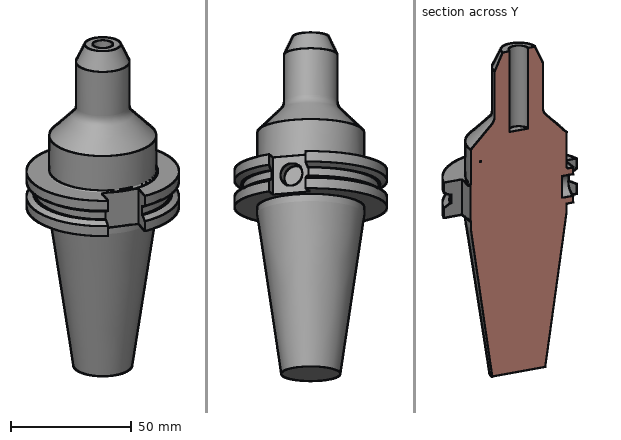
import cadquery as cq
import math


total_length = 144.5
taper_length = 68.2
nose_top_z = total_length - taper_length

gauge_radius = 44.5 / 2
taper_ratio = 7 / 24
taper_end_radius = gauge_radius - taper_length * taper_ratio / 2

flange_radius = 63.4 / 2
flange_bottom_z = 3.2
flange_width = 15.9
flange_top_z = flange_bottom_z + flange_width
flange_mid_z = flange_bottom_z + flange_width / 2
groove_mid_z = flange_mid_z
groove_mouth_width = 7.0
groove_seat_radius = 28.9
groove_flank_angle = math.radians(30)
groove_floor_radius = 28.2
groove_flank_height = (flange_radius - groove_seat_radius) * math.tan(groove_flank_angle)
groove_floor_width = groove_mouth_width - 2 * groove_flank_height

slot_width = 16.0
slot_face_minus_x = 25.1
slot_face_plus_x = 22.4

side_hole_diameter = 9.5
side_hole_depth = 5.0

body_radius = gauge_radius
body_root_fillet = 0.7
shoulder_z = 35.2
shoulder_angle = math.radians(45)
nose_radius = 22.4 / 2
nose_root_fillet = 5.0
nose_tip_radius = 15.0 / 2
nose_tip_height = 7.8

bore_diameter = 8.4
bore_depth = 36.1


def arc_point(center_r, center_z, radius, angle):
    """Point on a profile arc; the angle is measured from the +R direction."""
    return center_r + radius * math.cos(angle), center_z + radius * math.sin(angle)


def make_body():
    """Revolve the taper, flange blank, body and nose."""
    fillet_r = nose_radius + nose_root_fillet
    fillet_end_r = fillet_r - nose_root_fillet * math.cos(shoulder_angle)
    fillet_end_z = shoulder_z + (body_radius - fillet_end_r) * math.tan(shoulder_angle)
    fillet_z = fillet_end_z + nose_root_fillet * math.sin(shoulder_angle)
    fillet_mid = arc_point(fillet_r, fillet_z, nose_root_fillet, math.pi + shoulder_angle / 2)

    root_r = body_radius + body_root_fillet
    root_z = flange_top_z + body_root_fillet
    root_mid = arc_point(root_r, root_z, body_root_fillet, math.radians(225))

    profile = (
        cq.Workplane("XZ")
        .moveTo(0, -taper_length)
        .lineTo(taper_end_radius, -taper_length)
        .lineTo(gauge_radius, 0)
        .lineTo(gauge_radius, flange_bottom_z)
        .lineTo(flange_radius, flange_bottom_z)
        .lineTo(flange_radius, flange_top_z)
        .lineTo(root_r, flange_top_z)
        .threePointArc(root_mid, (body_radius, root_z))
        .lineTo(body_radius, shoulder_z)
        .lineTo(fillet_end_r, fillet_end_z)
        .threePointArc(fillet_mid, (nose_radius, fillet_z))
        .lineTo(nose_radius, nose_top_z - nose_tip_height)
        .lineTo(nose_tip_radius, nose_top_z)
        .lineTo(0, nose_top_z)
        .close()
    )
    return profile.revolve(360, (0, 0, 0), (0, 1, 0))


def make_groove():
    """Ring cutter: sloped flanks down to a narrow seat, then a square-sided floor."""
    half_mouth = groove_mouth_width / 2
    half_floor = groove_floor_width / 2
    profile = cq.Workplane("XZ").polyline([
        (flange_radius, groove_mid_z - half_mouth),
        (flange_radius, groove_mid_z + half_mouth),
        (groove_seat_radius, groove_mid_z + half_floor),
        (groove_floor_radius, groove_mid_z + half_floor),
        (groove_floor_radius, groove_mid_z - half_floor),
        (groove_seat_radius, groove_mid_z - half_floor),
    ]).close()
    return profile.revolve(360, (0, 0, 0), (0, 1, 0))


def make_slot(face_distance, side):
    """Slot cutter from its floor out past the flange rim; side is -1 or +1 along X."""
    length = flange_radius - face_distance
    return (
        cq.Workplane("XY")
        .box(length, slot_width, flange_width)
        .translate((side * (face_distance + length / 2), 0, flange_mid_z))
    )


def make_side_hole():
    """Cutter running inward along +X from the -X slot floor."""
    return (
        cq.Workplane("YZ", origin=(-slot_face_minus_x, 0, flange_mid_z))
        .circle(side_hole_diameter / 2)
        .extrude(side_hole_depth)
    )


def make_bore():
    """Cutter for the tool bore, sunk from the nose tip."""
    return (
        cq.Workplane("XY", origin=(0, 0, nose_top_z))
        .circle(bore_diameter / 2)
        .extrude(-bore_depth)
    )


result = (
    make_body()
    .cut(make_groove())
    .cut(make_slot(slot_face_minus_x, -1))
    .cut(make_slot(slot_face_plus_x, 1))
    .cut(make_side_hole())
    .cut(make_bore())
)